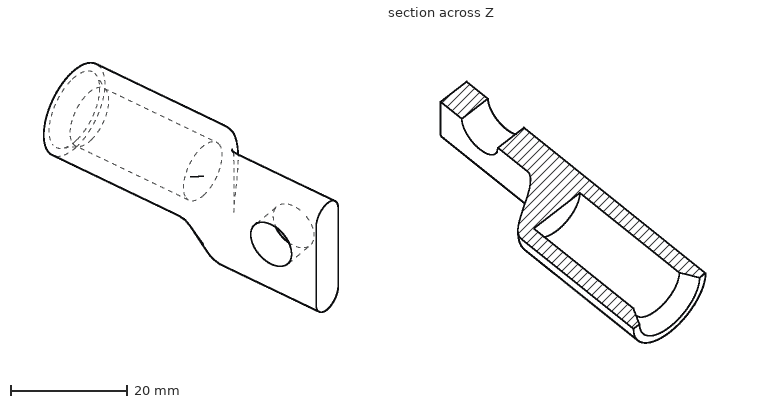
import cadquery as cq
import math

total_length = 58.65
barrel_length = 27.65
barrel_radius = 8.71
bore_radius = 5.5
mouth_radius = 7.2
mouth_depth = 3.2

palm_start = 37.3
palm_width = 23.65
palm_thickness = 6.35
palm_edge_radius = palm_thickness / 2
palm_flat_half = palm_width / 2 - palm_edge_radius
palm_front_y = -barrel_radius
palm_back_y = palm_front_y + palm_thickness
palm_middle_y = (palm_front_y + palm_back_y) / 2

hole_diameter = 8.8
hole_x = 49.0

corner_angle = 30.0
transition_steps = 8
origin = (0, 0, 0)


def outline_points():
    """Matching (Y, Z) points on barrel and palm: alternating corners and edge midpoints."""
    angles = [
        -corner_angle, 0, corner_angle, 90,
        180 - corner_angle, 180, 180 + corner_angle, 270,
    ]
    barrel = []
    for angle in angles:
        turn = math.radians(angle)
        barrel.append((-barrel_radius * math.cos(turn), barrel_radius * math.sin(turn)))
    palm = [
        (palm_front_y, -palm_flat_half),
        (palm_front_y, 0),
        (palm_front_y, palm_flat_half),
        (palm_middle_y, palm_width / 2),
        (palm_back_y, palm_flat_half),
        (palm_back_y, 0),
        (palm_back_y, -palm_flat_half),
        (palm_middle_y, -palm_width / 2),
    ]
    return barrel, palm


def section(fraction):
    """Closed outline at a fraction of the way along the transition."""
    x = barrel_length + fraction * (palm_start - barrel_length)
    blend = fraction**2 * (3 - 2 * fraction)
    barrel, palm = outline_points()
    points = [
        cq.Vector(x, by + blend * (py - by), bz + blend * (pz - bz))
        for (by, bz), (py, pz) in zip(barrel, palm)
    ]
    edges = []
    for start in (0, 2, 4, 6):
        first = points[start]
        middle = points[start + 1]
        last = points[(start + 2) % len(points)]
        is_palm_flat = fraction == 1 and start in (0, 4)
        if is_palm_flat:
            edges.append(cq.Edge.makeLine(first, last))
        else:
            edges.append(cq.Edge.makeThreePointArc(first, middle, last))
    return cq.Wire.assembleEdges(edges)


def make_barrel():
    return cq.Workplane("YZ").circle(barrel_radius).extrude(barrel_length)


def make_transition():
    sections = [section(step / transition_steps) for step in range(transition_steps + 1)]
    return cq.Workplane(obj=cq.Solid.makeLoft(sections))


def make_palm():
    palm_length = total_length - palm_start
    outline = section(1)
    return cq.Workplane(obj=cq.Solid.extrudeLinear(outline, [], cq.Vector(palm_length, 0, 0)))


def make_bore():
    """Blind bore ending at the transition, with a tapered entry."""
    profile = [
        (0, 0),
        (0, mouth_radius),
        (mouth_depth, bore_radius),
        (barrel_length, bore_radius),
        (barrel_length, 0),
    ]
    return cq.Workplane("XY").polyline(profile).close().revolve(360, origin, (1, 0, 0))


def make_bolt_hole():
    return (
        cq.Workplane("XZ", origin=(hole_x, palm_back_y, 0))
        .circle(hole_diameter / 2)
        .extrude(palm_thickness)
    )


body = make_barrel().union(make_transition()).union(make_palm())
result = body.cut(make_bore()).cut(make_bolt_hole())